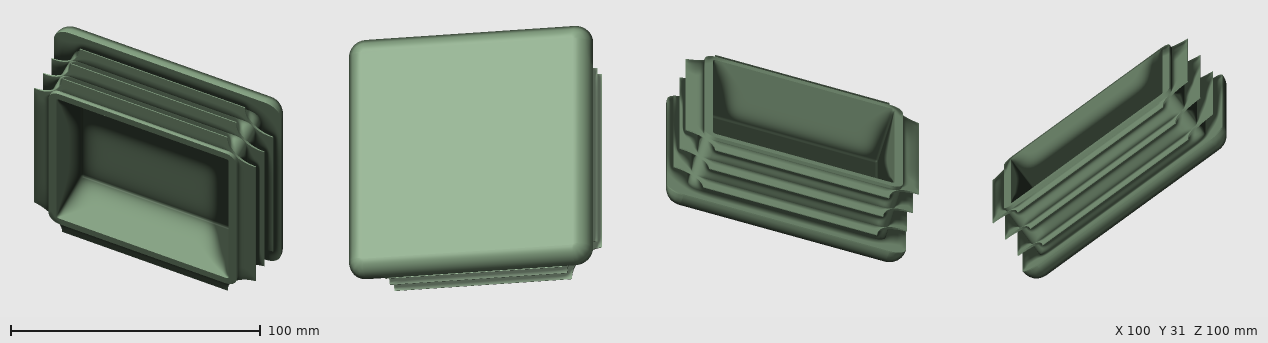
import cadquery as cq


cover_size = 100.0
cover_thickness = 7.0
cover_corner_radius = 7.0
dome_radius = 6.5

plug_size = 82.8
plug_length = 24.0
plug_corner_radius = 5.0
wall = 3.5
cavity_depth = plug_length
cavity_fillet = 1.0

fin_size = 97.6
fin_count = 3
fin_pitch = 8.4
first_fin_offset = 4.6
fin_tip_thickness = 0.3
fin_root_thickness = 1.0
fin_root_overlap = 1.0

plug_half = plug_size / 2
fin_half = fin_size / 2
corner_centre = plug_half - plug_corner_radius


def square_block(size, start, length):
    """Square block centred on the Y axis, from Y = start towards -Y."""
    plane = cq.Workplane("XZ", origin=(0, start, 0))
    return plane.rect(size, size).extrude(length)


def make_cover():
    block = square_block(cover_size, cover_thickness, cover_thickness)
    return block.edges("|Y").fillet(cover_corner_radius).faces(">Y").edges().fillet(dome_radius)


def make_plug():
    block = square_block(plug_size, 0, plug_length)
    return block.edges("|Y").fillet(plug_corner_radius)


def make_cavity():
    block = square_block(plug_size - 2 * wall, cavity_depth - plug_length, cavity_depth)
    return block.edges("|Y").fillet(cavity_fillet).faces(">Y").edges().fillet(cavity_fillet)


def fin_profile(plane):
    """Wedge section on the given plane: flat towards the cover, sloping on the other side."""
    slope = (fin_root_thickness - fin_tip_thickness) / (fin_half - plug_half)
    inner = plug_half - fin_root_overlap
    inner_thickness = fin_root_thickness + slope * fin_root_overlap
    return plane.polyline([
        (inner, 0),
        (fin_half, 0),
        (fin_half, -fin_tip_thickness),
        (inner, -inner_thickness),
    ]).close()


def make_fin():
    """One fin around the plug, its flat face at Y = 0."""
    side = fin_profile(cq.Workplane("XY")).extrude(corner_centre, both=True)

    corner_plane = cq.Workplane("XY", origin=(0, 0, corner_centre))
    corner = fin_profile(corner_plane).revolve(90, (corner_centre, 0), (corner_centre, -1))
    quarter = side.union(corner)

    fin = quarter
    for turn in (90, 180, 270):
        fin = fin.union(quarter.rotate((0, 0, 0), (0, 1, 0), turn))

    scallops = (
        cq.Workplane("XZ")
        .rect(fin_size, fin_size, forConstruction=True)
        .vertices()
        .circle(fin_half - corner_centre)
        .extrude(2 * fin_root_thickness)
    )
    return fin.cut(scallops)


result = make_cover().union(make_plug())
fin = make_fin()
for index in range(fin_count):
    fin_position = -first_fin_offset - index * fin_pitch
    result = result.union(fin.translate((0, fin_position, 0)))
result = result.cut(make_cavity())